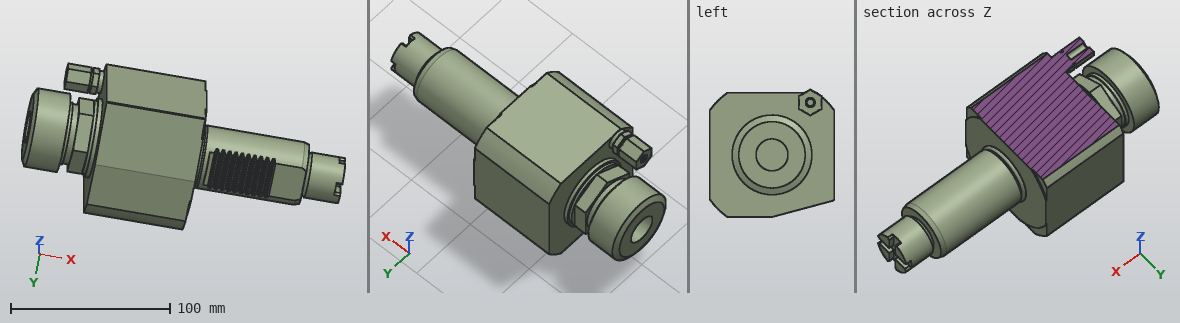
import cadquery as cq
import math


overall_length = 200.3

block_half = 39.0
block_length = 63.9
block_turning_radius = 48.0
underside_slope_angle = 15.0
rear_pad_radius = 41.5
rear_pad_height = 0.8

nose_length = 43.0
clamp_nut_length = 22.6
clamp_nut_radius = 25.0
clamp_nut_chamfer_length = 2.2
clamp_nut_face_radius = 20.8
nose_bore_radius = 10.0
nose_bore_depth = 13.0
spindle_collar_length = 2.5
spindle_collar_radius = 19.8
spindle_neck_radius = 19.0
wrench_hex_start = 29.0
wrench_hex_length = 9.2
wrench_hex_flats = 40.9
shoulder_length = 2.0
shoulder_radius = 23.5
flange_radius = 25.0

fitting_y = -24.0
fitting_z = 32.8
fitting_hex_flats = 14.2
fitting_body_length = 14.8
fitting_gap = 1.5
fitting_nut_length = 3.8
fitting_base_length = 3.0
fitting_neck_radius = 5.6
fitting_base_radius = 7.0
fitting_hole_radius = 2.2
fitting_hole_mouth_radius = 3.0

shank_radius = 20.0
shank_length = 69.3
seal_ring_width = 3.0
seal_ring_radius = 20.8
seal_groove_radius = 19.2
seal_groove_bevel = 1.2
shank_taper_length = 3.5
shank_end_radius = 19.0

flat_height = 16.5
flat_start = 7.2
tooth_pitch = 4.0
tooth_gap_count = 10
tooth_depth = 1.8
tooth_gap_bottom = 1.0
tooth_gap_mouth = 3.0
first_tooth_gap = 11.6

tang_radius = 14.5
tang_bevel_length = 2.6
tang_bevel_radius = 12.2
tang_slot_width = 5.8
tang_slot_depth = 3.8
tang_slot_mouth_bevel = 1.5

shank_end = block_length + shank_length
tang_end = overall_length - nose_length
tang_length = tang_end - shank_end


def rod(start, length, radius, y=0.0, z=0.0):
    """Cylinder along X from the given start station."""
    return cq.Workplane("YZ", origin=(start, y, z)).circle(radius).extrude(length)


def hex_bar(start, length, across_flats, y=0.0, z=0.0):
    """Hexagonal bar along X with two corners pointing up and down."""
    corner_diameter = across_flats / math.cos(math.pi / 6)
    bar = cq.Workplane("YZ").polygon(6, corner_diameter).extrude(length)
    bar = bar.rotate((0, 0, 0), (1, 0, 0), 90)
    return bar.translate((start, y, z))


def turned(profile):
    """Solid of revolution about X from closed (x, radius) points."""
    return cq.Workplane("XY").polyline(profile).close().revolve(360, (0, 0, 0), (1, 0, 0))


def make_block():
    """Square block with turned corners, a sloped underside and a low round rear pad."""
    slope_rise = block_half * math.tan(math.radians(underside_slope_angle))
    section = [
        (0, -block_half),
        (block_half, -block_half),
        (block_half, block_half),
        (-block_half, block_half),
        (-block_half, slope_rise - block_half),
    ]
    prism = cq.Workplane("YZ").polyline(section).close().extrude(block_length)
    body_length = block_length - rear_pad_height
    envelope = rod(0, body_length, block_turning_radius).union(rod(0, block_length, rear_pad_radius))
    return prism.intersect(envelope)


def make_nose():
    """Clamping nut, spindle neck, wrench hexagon and flange in front of the block."""
    nut_end = clamp_nut_length - nose_length
    nut = turned([
        (-nose_length, 0),
        (-nose_length, clamp_nut_face_radius),
        (-nose_length + clamp_nut_chamfer_length, clamp_nut_radius),
        (nut_end, clamp_nut_radius),
        (nut_end, 0),
    ])
    hex_start = wrench_hex_start - nose_length
    shoulder_start = hex_start + wrench_hex_length
    flange_start = shoulder_start + shoulder_length
    nose = nut.union(rod(nut_end, spindle_collar_length, spindle_collar_radius))
    nose = nose.union(rod(nut_end, hex_start - nut_end, spindle_neck_radius))
    nose = nose.union(hex_bar(hex_start, wrench_hex_length, wrench_hex_flats))
    nose = nose.union(rod(shoulder_start, shoulder_length, shoulder_radius))
    nose = nose.union(rod(flange_start, -flange_start, flange_radius))
    return nose.cut(rod(-nose_length, nose_bore_depth, nose_bore_radius))


def make_coolant_fitting():
    """Hexagonal nozzle and lock nut on a round base, with a countersunk hole in the nozzle."""
    place = (fitting_y, fitting_z)
    nut_start = -fitting_base_length - fitting_nut_length
    body_end = nut_start - fitting_gap
    body_start = body_end - fitting_body_length
    fitting = hex_bar(body_start, fitting_body_length, fitting_hex_flats, *place)
    fitting = fitting.union(rod(body_end, fitting_gap, fitting_neck_radius, *place))
    fitting = fitting.union(hex_bar(nut_start, fitting_nut_length, fitting_hex_flats, *place))
    fitting = fitting.union(rod(-fitting_base_length, fitting_base_length, fitting_base_radius, *place))
    mouth_depth = fitting_hole_mouth_radius - fitting_hole_radius
    hole = turned([
        (body_start, 0),
        (body_start, fitting_hole_mouth_radius),
        (body_start + mouth_depth, fitting_hole_radius),
        (body_end, fitting_hole_radius),
        (body_end, 0),
    ]).translate((0, *place))
    return fitting.cut(hole)


def make_shank():
    """Round shank with a seal ring at the block and a tapered rear end."""
    ring_end = block_length + seal_ring_width
    ring_crown = (block_length + seal_ring_width / 2, seal_ring_radius)
    return (
        cq.Workplane("XY")
        .moveTo(block_length, 0)
        .lineTo(block_length, seal_groove_radius)
        .threePointArc(ring_crown, (ring_end, seal_groove_radius))
        .lineTo(ring_end + seal_groove_bevel, shank_radius)
        .lineTo(shank_end - shank_taper_length, shank_radius)
        .lineTo(shank_end, shank_end_radius)
        .lineTo(shank_end, 0)
        .close()
        .revolve(360, (0, 0, 0), (1, 0, 0))
    )


def make_serration_cut():
    """Tool that cuts the flat under the shank and the tooth gaps above it."""
    cut_width = 2 * shank_radius
    flat_length = shank_length - flat_start
    flat_cut = cq.Workplane("XY").box(
        flat_length, cut_width, shank_radius, centered=(False, True, False)
    )
    cutter = flat_cut.translate((block_length + flat_start, 0, -flat_height - shank_radius))
    for index in range(tooth_gap_count):
        middle = block_length + first_tooth_gap + index * tooth_pitch
        gap = (
            cq.Workplane("XZ", origin=(middle, 0, -flat_height))
            .moveTo(-tooth_gap_mouth / 2, 0)
            .lineTo(-tooth_gap_bottom / 2, tooth_depth)
            .lineTo(tooth_gap_bottom / 2, tooth_depth)
            .lineTo(tooth_gap_mouth / 2, 0)
            .close()
            .extrude(cut_width / 2, both=True)
        )
        cutter = cutter.union(gap)
    return cutter


def make_tang():
    """Drive tang with two crossed slots that flare towards the outside."""
    tang = turned([
        (shank_end, 0),
        (shank_end, tang_bevel_radius),
        (shank_end + tang_bevel_length, tang_radius),
        (tang_end, tang_radius),
        (tang_end, 0),
    ])
    half_width = tang_slot_width / 2
    mouth_half_width = half_width + tang_slot_mouth_bevel
    flare_start = math.sqrt(tang_radius**2 - mouth_half_width**2) - tang_slot_mouth_bevel
    flare_end = tang_radius
    flare_half_width = half_width + flare_end - flare_start
    slot = (
        cq.Workplane("YZ", origin=(tang_end - tang_slot_depth, 0, 0))
        .polyline([
            (-flare_end, -flare_half_width),
            (-flare_start, -half_width),
            (flare_start, -half_width),
            (flare_end, -flare_half_width),
            (flare_end, flare_half_width),
            (flare_start, half_width),
            (-flare_start, half_width),
            (-flare_end, flare_half_width),
        ])
        .close()
        .extrude(tang_slot_depth)
    )
    for angle in (0, 90):
        tang = tang.cut(slot.rotate((0, 0, 0), (1, 0, 0), angle))
    return tang


shank = make_shank().cut(make_serration_cut())
result = make_block().union(make_nose()).union(make_coolant_fitting()).union(shank).union(make_tang())